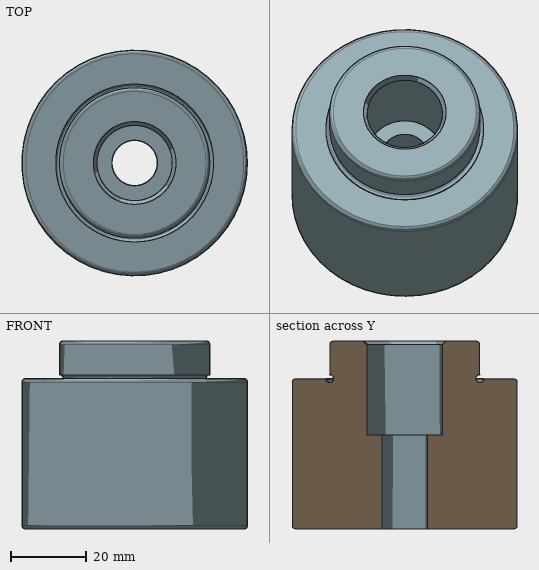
import cadquery as cq

body_diameter = 60.0
total_height = body_diameter * 5 / 6
boss_diameter = body_diameter * 2 / 3
boss_height = body_diameter / 6
bore_diameter = boss_diameter / 2
bore_depth = total_height / 2
through_diameter = body_diameter / 5
edge_size = body_diameter / 60

body_height = total_height - boss_height


def rounded_body():
    """Main cylinder with both rims rounded."""
    body = cq.Workplane("XY").circle(body_diameter / 2).extrude(body_height)
    return body.edges("%CIRCLE").fillet(edge_size)


def rounded_boss():
    """Smaller cylinder on top of the body, with its top rim rounded."""
    boss = cq.Workplane("XY").workplane(offset=body_height).circle(boss_diameter / 2).extrude(boss_height)
    return boss.faces(">Z").edges().fillet(edge_size)


def relief_groove():
    """Ring of round section, centred on the corner between boss and body."""
    return (
        cq.Workplane("XZ")
        .center(boss_diameter / 2, body_height)
        .circle(edge_size)
        .revolve(360, (-boss_diameter / 2, 0), (-boss_diameter / 2, 1))
    )


def stepped_bore():
    """Wide bore from the top, continued by a narrower hole through the bottom."""
    bore = cq.Workplane("XY").workplane(offset=total_height).circle(bore_diameter / 2).extrude(-bore_depth)
    through_hole = cq.Workplane("XY").circle(through_diameter / 2).extrude(total_height)
    mouth_chamfer = cq.Workplane(
        cq.Solid.makeCone(
            bore_diameter / 2,
            bore_diameter / 2 + edge_size,
            edge_size,
            cq.Vector(0, 0, total_height - edge_size),
        )
    )
    return bore.union(through_hole).union(mouth_chamfer)


result = rounded_body().union(rounded_boss()).cut(relief_groove()).cut(stepped_bore())